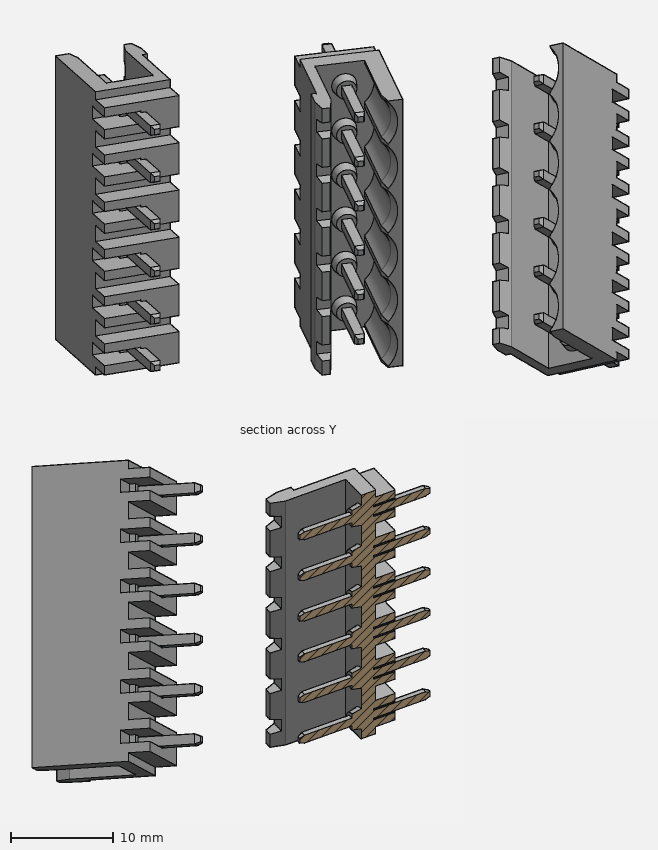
import cadquery as cq

length = 30.0
pin_count = 6
pitch = length / pin_count
pin_heights = [(i - (pin_count - 1) / 2) * pitch for i in range(pin_count)]

housing_depth = 10.0
housing_width = 7.95
pocket_depth = 8.35
wall_inner = 1.85
wall_lip = 1.47
lead_in = 1.3
latch_inner = 6.85

latch_top = 8.5
latch_end = 3.1
latch_taper = 1.5
latch_tip_low = 7.3
latch_tip_high = 8.1
notch_depth = 1.1
notch_mouth = 1.8
notch_floor = 1.38

scallop_radius = 3.0
scallop_mouth_radius = 3.4

foot_end = 12.2
foot_height = 3.3
slot_start = 9.18
slot_step = 9.78
slot_height = 1.32
slot_shallow_depth = 2.7

pin_y = 3.9
pin_size = 1.02
pin_tip_size = 0.6
pin_taper = 0.55
pin_start = 1.35
pin_end = 16.2
collar_length = 1.05
collar_base_radius = 1.25
collar_tip_radius = 1.02


def box(x_range, y_range, z_center, height):
    """Block between two X and two Y positions, centred on a Z height."""
    return (
        cq.Workplane("XY")
        .box(x_range[1] - x_range[0], y_range[1] - y_range[0], height, centered=(False, False, True))
        .translate((x_range[0], y_range[0], z_center))
    )


def section_at(x, z):
    """Sketch plane facing +X, centred on the axis of the pin at height z."""
    return cq.Workplane("YZ", origin=(x, pin_y, z))


def round_taper(x, z, start_radius, end_radius, taper_length):
    """Cone section along a pin axis, starting at x."""
    return (
        section_at(x, z)
        .circle(start_radius)
        .workplane(offset=taper_length)
        .circle(end_radius)
        .loft(ruled=True)
    )


def square_taper(x, z, start_size, end_size):
    """Pyramid section that forms one end of a pin, starting at x."""
    return (
        section_at(x, z)
        .rect(start_size, start_size)
        .workplane(offset=pin_taper)
        .rect(end_size, end_size)
        .loft(ruled=True)
    )


def make_housing():
    """U-shaped channel with the latch rail on one wall."""
    outline = [
        (0, 0),
        (housing_depth, 0),
        (housing_depth, housing_width),
        (latch_end, housing_width),
        (latch_end, latch_top),
        (latch_taper, latch_top),
        (0, latch_tip_high),
        (0, latch_tip_low),
        (latch_taper, latch_inner),
        (pocket_depth, latch_inner),
        (pocket_depth, wall_inner),
        (lead_in, wall_inner),
        (0, wall_lip),
    ]
    return cq.Workplane("XY").polyline(outline).close().extrude(length / 2, both=True)


def make_scallop(z):
    """Round recess in the wall around a pin, wider at the mouth; spares the latch wall."""
    bore = section_at(0, z).circle(scallop_radius).extrude(pocket_depth)
    mouth = round_taper(0, z, scallop_mouth_radius, scallop_radius, lead_in)
    wall_side = box((0, pocket_depth), (0, pin_y), z, pitch)
    return bore.union(mouth).intersect(wall_side)


def make_notch(z):
    """Trapezoidal notch across the tip of the latch rail."""
    outline = [
        (0, z - notch_mouth / 2),
        (notch_depth, z - notch_floor / 2),
        (notch_depth, z + notch_floor / 2),
        (0, z + notch_mouth / 2),
    ]
    return (
        cq.Workplane("XZ", origin=(0, latch_top, 0))
        .polyline(outline)
        .close()
        .extrude(latch_top - latch_inner)
    )


def make_foot(z):
    return box((housing_depth, foot_end), (0, housing_width), z, foot_height)


def make_slot(z):
    """Stepped slot: a shallow inner end that covers the pin, then down to the pin axis."""
    shallow = box((slot_start, slot_step), (0, slot_shallow_depth), z, slot_height)
    deep = box((slot_step, foot_end), (0, pin_y), z, slot_height)
    return shallow.union(deep)


def make_pin(z):
    """Square pin with tapered ends and a conical collar on the pocket floor."""
    shank_start = pin_start + pin_taper
    shank_end = pin_end - pin_taper
    shank = section_at(shank_start, z).rect(pin_size, pin_size).extrude(shank_end - shank_start)
    front_tip = square_taper(pin_start, z, pin_tip_size, pin_size)
    rear_tip = square_taper(shank_end, z, pin_size, pin_tip_size)
    collar_start = pocket_depth - collar_length
    collar = round_taper(collar_start, z, collar_tip_radius, collar_base_radius, collar_length)
    return shank.union(front_tip).union(rear_tip).union(collar)


result = make_housing()
for pin_z in pin_heights:
    result = result.cut(make_scallop(pin_z)).cut(make_notch(pin_z))
    result = result.union(make_foot(pin_z)).cut(make_slot(pin_z)).union(make_pin(pin_z))